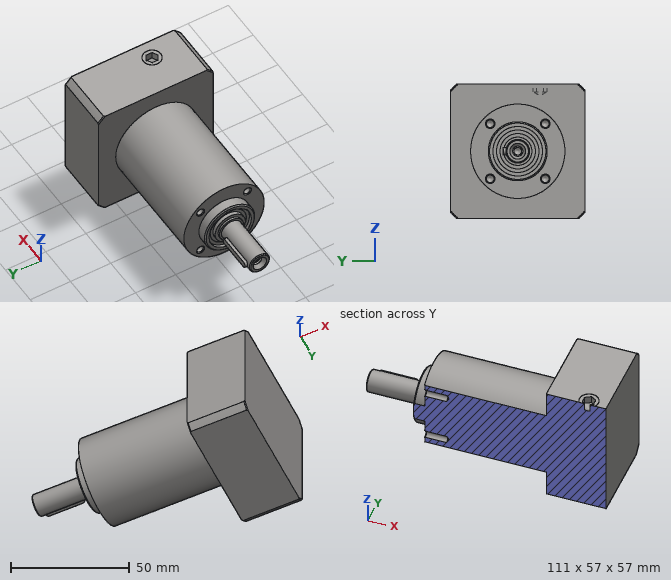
import cadquery as cq
import math

COLLAR_X = 23.0
PILOT_X = 24.0
BODY_X = 29.0
FLANGE_X = 84.0
END_X = 111.0

SHAFT_DIA = 10.0
COLLAR_DIA = 12.0
PILOT_DIA = 25.0
BODY_DIA = 40.0
SHAFT_CHAMFER = 0.4
PILOT_CHAMFER = 0.5

RECESS_DIA = 21.0
RECESS_STEP_DIA = 18.0
RECESS_HUB_DIA = 15.0
RECESS_DEPTH = 1.5
RECESS_STEP_DEPTH = 1.8

FLANGE_SIDE = 57.0
CORNER_CUT = 2.8
CORNER_BEVEL = 0.4

KEY_X = 1.8
KEY_LENGTH = 18.0
KEY_WIDTH = 3.0
KEY_TOP = 6.2

CENTRE_MOUTH_DIA = 6.7
CENTRE_RELIEF_DIA = 4.3
CENTRE_DRILL_DIA = 3.2
CENTRE_CONE_DEPTH = 2.1
CENTRE_RELIEF_DEPTH = 3.2
CENTRE_DRILL_DEPTH = 10.0

MOUNT_OFFSET = 11.7
MOUNT_MOUTH_DIA = 4.0
MOUNT_DRILL_DIA = 3.2
MOUNT_DEPTH = 10.0

SCREW_X = 102.5
SCREW_Y = -9.4
SCREW_DIA = 8.5
SCREW_SINK = 0.1
SOCKET_FLATS = 5.0
SOCKET_DEPTH = 3.3

DRILL_TIP_ANGLE = 118
DRILL_TIP_SLOPE = math.tan(math.radians(DRILL_TIP_ANGLE / 2))


def cylinder_x(diameter, start, end):
    return cq.Workplane("YZ", origin=(start, 0, 0)).circle(diameter / 2).extrude(end - start)


def revolve_x(profile):
    """Revolve a closed (x, radius) profile about the X axis."""
    return cq.Workplane("XY").polyline(profile).close().revolve(360, (0, 0, 0), (1, 0, 0))


def make_ring(outer_dia, inner_dia, depth):
    """Ring reaching from the pilot face into the pilot."""
    end = PILOT_X + depth
    return cylinder_x(outer_dia, PILOT_X, end).cut(cylinder_x(inner_dia, PILOT_X, end))


def make_turned_body():
    shaft = cylinder_x(SHAFT_DIA, 0, BODY_X).faces("<X").chamfer(SHAFT_CHAMFER)
    collar = cylinder_x(COLLAR_DIA, COLLAR_X, BODY_X)
    pilot = cylinder_x(PILOT_DIA, PILOT_X, BODY_X).faces("<X").chamfer(PILOT_CHAMFER)
    outer_ring = make_ring(RECESS_DIA, RECESS_STEP_DIA, RECESS_DEPTH)
    inner_ring = make_ring(RECESS_STEP_DIA, RECESS_HUB_DIA, RECESS_STEP_DEPTH)
    pilot = pilot.cut(outer_ring).cut(inner_ring)
    body = cylinder_x(BODY_DIA, BODY_X, FLANGE_X)
    return body.union(pilot).union(collar).union(shaft)


def make_flange():
    length = END_X - FLANGE_X
    block = cq.Workplane("YZ", origin=(FLANGE_X, 0, 0)).rect(FLANGE_SIDE, FLANGE_SIDE).extrude(length)
    corner_radius = math.hypot(FLANGE_SIDE / 2, FLANGE_SIDE / 2 - CORNER_CUT)
    turned = cylinder_x(2 * corner_radius, FLANGE_X, END_X).faces("<X or >X").chamfer(CORNER_BEVEL)
    return block.intersect(turned)


def make_key():
    return (
        cq.Workplane("XZ", origin=(KEY_X + KEY_LENGTH / 2, 0, 0))
        .slot2D(KEY_LENGTH, KEY_WIDTH)
        .extrude(-KEY_TOP)
    )


def make_centre_hole():
    drill_radius = CENTRE_DRILL_DIA / 2
    return revolve_x([
        (0, 0),
        (0, CENTRE_MOUTH_DIA / 2),
        (CENTRE_CONE_DEPTH, CENTRE_RELIEF_DIA / 2),
        (CENTRE_RELIEF_DEPTH, CENTRE_RELIEF_DIA / 2),
        (CENTRE_RELIEF_DEPTH, drill_radius),
        (CENTRE_DRILL_DEPTH, drill_radius),
        (CENTRE_DRILL_DEPTH + drill_radius / DRILL_TIP_SLOPE, 0),
    ])


def make_mount_holes():
    drill_radius = MOUNT_DRILL_DIA / 2
    mouth_radius = MOUNT_MOUTH_DIA / 2
    hole = revolve_x([
        (0, 0),
        (0, mouth_radius),
        (mouth_radius - drill_radius, drill_radius),
        (MOUNT_DEPTH, drill_radius),
        (MOUNT_DEPTH + drill_radius / DRILL_TIP_SLOPE, 0),
    ])
    holes = cq.Workplane("XY")
    for y in (-MOUNT_OFFSET, MOUNT_OFFSET):
        for z in (-MOUNT_OFFSET, MOUNT_OFFSET):
            holes = holes.add(hole.translate((BODY_X, y, z)))
    return holes.combine()


def make_screw_recess():
    """Shallow round seat down to the screw, then its hexagon socket with a drilled tip."""
    socket_radius = SOCKET_FLATS / 2 / math.cos(math.pi / 6)
    tip_height = socket_radius / DRILL_TIP_SLOPE
    top = cq.Workplane("XY", origin=(SCREW_X, SCREW_Y, FLANGE_SIDE / 2))
    seat = top.circle(SCREW_DIA / 2).extrude(-SCREW_SINK)
    hexagon = (
        top.transformed(rotate=(0, 0, 90))
        .polygon(6, 2 * socket_radius)
        .extrude(-SOCKET_DEPTH - tip_height)
    )
    drill = (
        cq.Workplane("XZ")
        .polyline([
            (0, 0),
            (socket_radius, 0),
            (socket_radius, -SOCKET_DEPTH),
            (0, -SOCKET_DEPTH - tip_height),
        ])
        .close()
        .revolve(360, (0, 0, 0), (0, 1, 0))
        .translate((SCREW_X, SCREW_Y, FLANGE_SIDE / 2))
    )
    return seat.union(hexagon.intersect(drill))


result = make_turned_body().union(make_flange()).union(make_key())
result = result.cut(make_centre_hole()).cut(make_mount_holes()).cut(make_screw_recess())